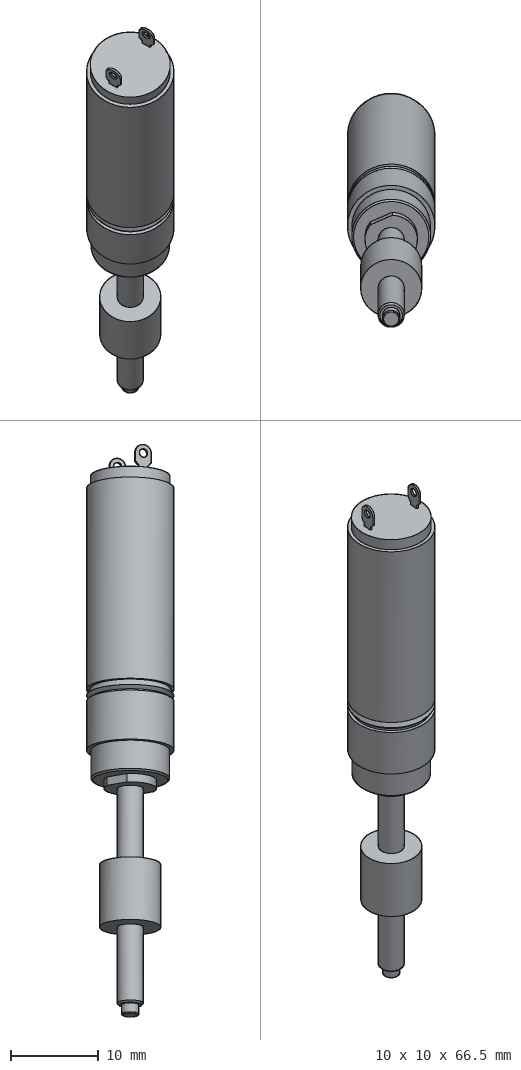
import cadquery as cq

TOTAL_HEIGHT = 66.45
TIP_TOP = 1.2
SLEEVE_BOTTOM = 10.35
SLEEVE_TOP = 17.75
FLANGE_BOTTOM = 26.7
COLLAR_BOTTOM = 27.7
GEARBOX_BOTTOM = 31.2
GEARBOX_TOP = 37.0
RIDGE_HEIGHT = 37.7
CAN_BOTTOM = 38.4
CAN_TOP = 62.1
CAP_TOP = 63.5

TIP_DIAMETER = 2.0
SHAFT_DIAMETER = 3.0
SLEEVE_DIAMETER = 7.0
FLANGE_DIAMETER = 6.0
COLLAR_DIAMETER = 9.0
GROOVE_DIAMETER = 9.2
BODY_DIAMETER = 10.0
CAP_DIAMETER = 9.1

TIP_CHAMFER = 0.1
SHAFT_CHAMFER = 0.2
COLLAR_CHAMFER = 0.2

FLAT_SPACING = 5.3
FLAT_ANGLE = 30.0

TERMINAL_WIDTH = 2.0
TERMINAL_THICKNESS = 0.25
TERMINAL_OFFSET = 3.4
TERMINAL_HOLE_DIAMETER = 1.0
NECK_WIDTH = 1.1
NECK_HEIGHT = 0.4
NECK_TAPER_HEIGHT = 0.45
NECK_TOP = CAP_TOP + NECK_HEIGHT
SHOULDER_HEIGHT = NECK_TOP + NECK_TAPER_HEIGHT
TERMINAL_EMBED = 0.3


def cylinder(diameter, bottom, top):
    return cq.Workplane("XY").workplane(offset=bottom).circle(diameter / 2).extrude(top - bottom)


def make_shaft():
    """Output shaft with a chamfered end and a reduced tip."""
    tip = cylinder(TIP_DIAMETER, 0, TIP_TOP).faces("<Z").chamfer(TIP_CHAMFER)
    shaft = cylinder(SHAFT_DIAMETER, TIP_TOP, COLLAR_BOTTOM).faces("<Z").chamfer(SHAFT_CHAMFER)
    return shaft.union(tip)


def make_flange():
    """Round flange with two parallel flats turned about the axis."""
    flange = cylinder(FLANGE_DIAMETER, FLANGE_BOTTOM, COLLAR_BOTTOM)
    flats = (
        cq.Workplane("XY")
        .workplane(offset=FLANGE_BOTTOM)
        .rect(FLAT_SPACING, FLANGE_DIAMETER)
        .extrude(COLLAR_BOTTOM - FLANGE_BOTTOM)
        .rotate((0, 0, 0), (0, 0, 1), FLAT_ANGLE)
    )
    return flange.intersect(flats)


def make_body():
    """Gearbox, ridge between two grooves, motor can and end cap, turned as one profile."""
    body_radius = BODY_DIAMETER / 2
    collar_radius = COLLAR_DIAMETER / 2
    groove_radius = GROOVE_DIAMETER / 2
    groove_depth = body_radius - groove_radius
    cap_radius = CAP_DIAMETER / 2
    profile = [
        (0, COLLAR_BOTTOM),
        (collar_radius - COLLAR_CHAMFER, COLLAR_BOTTOM),
        (collar_radius, COLLAR_BOTTOM + COLLAR_CHAMFER),
        (collar_radius, GEARBOX_BOTTOM),
        (body_radius, GEARBOX_BOTTOM),
        (body_radius, GEARBOX_TOP),
        (groove_radius, GEARBOX_TOP),
        (groove_radius, RIDGE_HEIGHT - groove_depth),
        (body_radius, RIDGE_HEIGHT),
        (groove_radius, CAN_BOTTOM),
        (body_radius, CAN_BOTTOM),
        (body_radius, CAN_TOP),
        (cap_radius, CAN_TOP),
        (cap_radius, CAP_TOP),
        (0, CAP_TOP),
    ]
    return cq.Workplane("XZ").polyline(profile).close().revolve(360, (0, 0), (0, 1))


def make_terminal(y_center):
    """Flat lug with a round eye and a narrow neck set into the cap."""
    half_width = TERMINAL_WIDTH / 2
    half_neck = NECK_WIDTH / 2
    eye_height = TOTAL_HEIGHT - half_width
    base = CAP_TOP - TERMINAL_EMBED
    plane = cq.Workplane("XZ", origin=(0, y_center, 0))
    lug = (
        plane.moveTo(-half_neck, base)
        .lineTo(half_neck, base)
        .lineTo(half_neck, NECK_TOP)
        .lineTo(half_width, SHOULDER_HEIGHT)
        .lineTo(half_width, eye_height)
        .threePointArc((0, TOTAL_HEIGHT), (-half_width, eye_height))
        .lineTo(-half_width, SHOULDER_HEIGHT)
        .lineTo(-half_neck, NECK_TOP)
        .close()
        .extrude(TERMINAL_THICKNESS / 2, both=True)
    )
    eye = (
        plane.center(0, eye_height)
        .circle(TERMINAL_HOLE_DIAMETER / 2)
        .extrude(TERMINAL_THICKNESS, both=True)
    )
    return lug.cut(eye)


sleeve = cylinder(SLEEVE_DIAMETER, SLEEVE_BOTTOM, SLEEVE_TOP)
result = make_body().union(make_flange()).union(make_shaft()).union(sleeve)
for side in (-1, 1):
    result = result.union(make_terminal(side * TERMINAL_OFFSET))